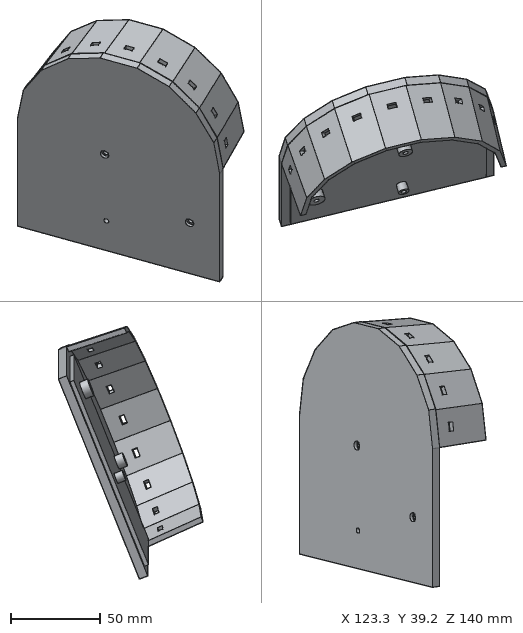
import cadquery as cq
import math

WIDTH = 123.3
HEIGHT = 140.0
PLATE_THICKNESS = 5.0
PLATE_TOP_Z = 60.8
BOTTOM_Z = PLATE_TOP_Z - HEIGHT
ARCH_CORNERS = [
    (WIDTH / 2, 0),
    (58.1, 21.5),
    (47.2, 39.8),
    (30.8, 53.8),
    (11.3, PLATE_TOP_Z),
]

DEPTH = 39.2
HOOD_SIDES = 18
HOOD_BASE_RADIUS = 61.6
HOOD_RIM_RADIUS = 59.8
HOOD_WALL = 3.1
HOOD_LENGTH = DEPTH - PLATE_THICKNESS
FACET_COUNT = HOOD_SIDES // 2
FACET_ANGLE = 360.0 / HOOD_SIDES
APOTHEM_RATIO = math.cos(math.radians(FACET_ANGLE / 2))

WINDOW_LENGTH = 5.0
WINDOW_WIDTH = 3.0
WINDOW_Y = 15.0
WINDOW_TILT = 7.0
WINDOW_CUT_DEPTH = 28.0

PAD_MARGIN = 4.9
PAD_THICKNESS = 2.4
PAD_HEIGHT = 70.1
PAD_WIDTH = WIDTH - 2 * PAD_MARGIN

BOSS_LENGTH = 4.9
BOSSES = [
    (-8.5, 70.1, 8.0, True),
    (43.3, 37.2, 10.0, True),
    (-7.4, 21.8, 6.0, False),
]
BOSS_END_Y = PLATE_THICKNESS + PAD_THICKNESS + BOSS_LENGTH
HOLE_DIAMETER = 3.0
COUNTERBORE_DIAMETER = 5.0
COUNTERBORE_DEPTH = 2.0


def plane_at(y):
    """XZ sketch plane at depth y; its normal is -Y, so negative lengths go rearward."""
    return cq.Workplane("XZ", origin=(0, y, 0))


def make_plate():
    right_side = [(WIDTH / 2, BOTTOM_Z)] + ARCH_CORNERS
    left_side = [(-x, z) for x, z in reversed(right_side)]
    return plane_at(0).polyline(right_side + left_side).close().extrude(-PLATE_THICKNESS)


def half_polygon(radius):
    """Corners of the upper half of the hood polygon, from +X over the top to -X."""
    angles = [math.radians(i * FACET_ANGLE) for i in range(FACET_COUNT + 1)]
    return [(radius * math.cos(a), radius * math.sin(a)) for a in angles]


def half_frustum(base_radius, rim_radius):
    return (
        plane_at(PLATE_THICKNESS)
        .polyline(half_polygon(base_radius)).close()
        .workplane(offset=-HOOD_LENGTH)
        .polyline(half_polygon(rim_radius)).close()
        .loft(ruled=True)
    )


def make_window(facet):
    """Cutter centred on the outer surface of one facet."""
    taper = (HOOD_BASE_RADIUS - HOOD_RIM_RADIUS) / HOOD_LENGTH
    radius_here = HOOD_BASE_RADIUS - taper * (WINDOW_Y - PLATE_THICKNESS)
    facet_direction = (facet + 0.5) * FACET_ANGLE - 90
    return (
        cq.Workplane("XY")
        .box(WINDOW_LENGTH, WINDOW_WIDTH, WINDOW_CUT_DEPTH)
        .rotate((0, 0, 0), (1, 0, 0), -WINDOW_TILT)
        .translate((0, WINDOW_Y, radius_here * APOTHEM_RATIO))
        .rotate((0, 0, 0), (0, 1, 0), facet_direction)
    )


def make_hood():
    inset = HOOD_WALL / APOTHEM_RATIO
    outer = half_frustum(HOOD_BASE_RADIUS, HOOD_RIM_RADIUS)
    inner = half_frustum(HOOD_BASE_RADIUS - inset, HOOD_RIM_RADIUS - inset)
    hood = outer.cut(inner)
    for facet in range(FACET_COUNT):
        hood = hood.cut(make_window(facet))
    return hood


def make_pad():
    center_z = BOTTOM_Z + PAD_MARGIN + PAD_HEIGHT / 2
    return (
        plane_at(PLATE_THICKNESS)
        .center(0, center_z)
        .rect(PAD_WIDTH, PAD_HEIGHT)
        .extrude(-PAD_THICKNESS)
    )


def add_bosses(body):
    """Add each boss and bore it through, together with the pad and plate in front of it."""
    for x, height, diameter, counterbored in BOSSES:
        z = BOTTOM_Z + height
        base = plane_at(PLATE_THICKNESS).center(x, z)
        front = plane_at(0).center(x, z)
        body = body.union(base.circle(diameter / 2).extrude(PLATE_THICKNESS - BOSS_END_Y))
        body = body.cut(front.circle(HOLE_DIAMETER / 2).extrude(-BOSS_END_Y))
        if counterbored:
            body = body.cut(front.circle(COUNTERBORE_DIAMETER / 2).extrude(-COUNTERBORE_DEPTH))
    return body


result = add_bosses(make_plate().union(make_hood()).union(make_pad()))